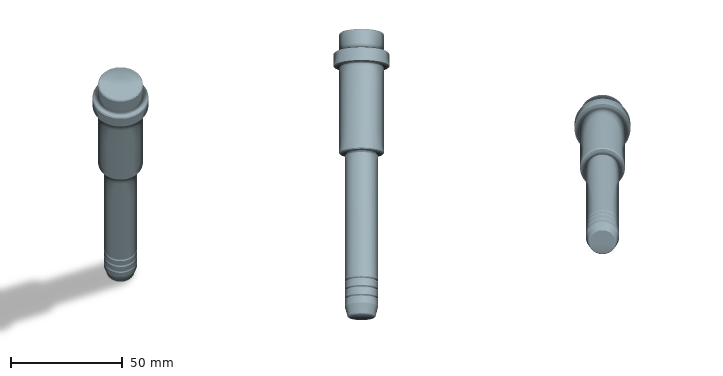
import cadquery as cq
import math

total_length = 130.0
head_height = 9.0
collar_height = 6.0
shank_length = 40.0
neck_height = 1.0
nose_length = 5.0

collar_diameter = 25.0
shank_diameter = 20.0
pin_diameter = 15.0
neck_diameter = 14.0

head_chamfer = 0.5
shank_chamfer = 0.4
collar_chamfer = 0.5
nose_angle = 15.0
nose_tip_chamfer = 0.4
relief_depth = 0.4
groove_depth = 0.5
groove_count = 3
groove_pitch = 4.0
lowest_groove_height = 8.5

collar_top = total_length - head_height
collar_bottom = collar_top - collar_height
shank_bottom = collar_bottom - shank_length
pin_top = shank_bottom - neck_height
nose_base_diameter = pin_diameter - 2 * nose_length * math.tan(math.radians(nose_angle))


def cylinder(diameter, bottom, top):
    return cq.Workplane("XY").workplane(offset=bottom).circle(diameter / 2).extrude(top - bottom)


def vee_groove(diameter, depth, middle):
    """Ring with 45 degree sides that cuts a V of the given depth around a cylinder."""
    radius = diameter / 2
    reach = 2 * depth
    section = [
        (radius - depth, middle),
        (radius - depth + reach, middle - reach),
        (radius - depth + reach, middle + reach),
    ]
    return cq.Workplane("XZ").polyline(section).close().revolve(360, (0, 0, 0), (0, 1, 0))


def make_head_and_shank():
    body = cylinder(shank_diameter, shank_bottom, total_length)
    body = body.faces(">Z").chamfer(head_chamfer)
    body = body.faces("<Z").chamfer(shank_chamfer)
    for middle in (collar_top + relief_depth, collar_bottom - relief_depth):
        body = body.cut(vee_groove(shank_diameter, relief_depth, middle))
    collar = cylinder(collar_diameter, collar_bottom, collar_top)
    collar = collar.faces(">Z").chamfer(collar_chamfer)
    return body.union(collar)


def make_pin():
    pin = cylinder(pin_diameter, nose_length, pin_top)
    for index in range(groove_count):
        middle = lowest_groove_height + index * groove_pitch
        pin = pin.cut(vee_groove(pin_diameter, groove_depth, middle))
    nose = (
        cq.Workplane("XY")
        .circle(nose_base_diameter / 2)
        .workplane(offset=nose_length)
        .circle(pin_diameter / 2)
        .loft(ruled=True)
        .faces("<Z")
        .chamfer(nose_tip_chamfer)
    )
    return pin.union(nose)


neck = cylinder(neck_diameter, pin_top, shank_bottom)
result = make_head_and_shank().union(neck).union(make_pin())